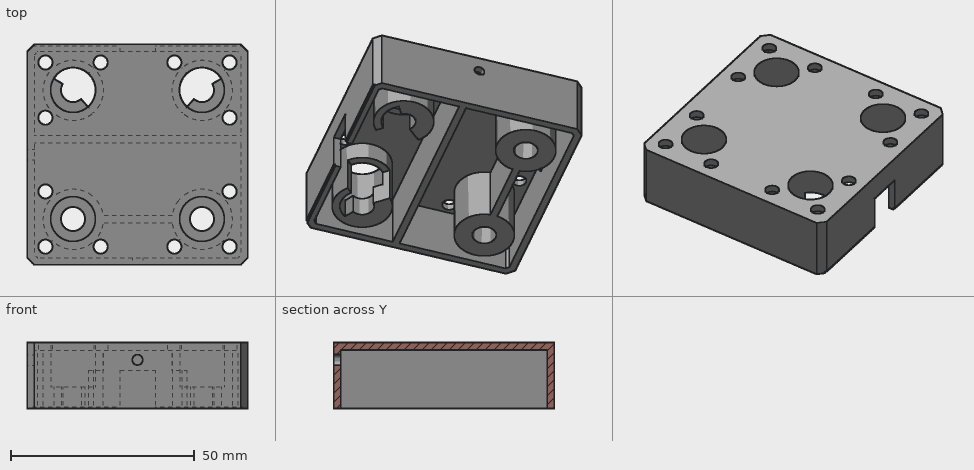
import cadquery as cq
import math

side = 60.0
height = 18.0
corner_chamfer = 2.0
wall = 2.0
plate_thickness = 2.1
half = side / 2
inner_side = side - 2 * wall
inner_chamfer = corner_chamfer - wall * (2 - math.sqrt(2))

small_hole_diameter = 3.8
small_hole_outer = 25.0
small_hole_inner = 10.0

boss_offset = 17.5
boss_diameter = 16.4
boss_bore_diameter = 12.2
ledge_bore_diameter = 6.5
ledge_thickness = 6.0

opening_height = 10.5
window_start_angle = -48.0
window_end_angle = 47.8
ledge_start_angle = 149.0

rib_thickness = wall
middle_rib_y = 4.2

side_hole_diameter = 2.8
side_hole_height = 13.25

slot_width = 9.6
edge_step = 0.5

signs = (-1, 1)
boss_points = [(sx * boss_offset, sy * boss_offset) for sx in signs for sy in signs]
small_hole_points = [
    (sx * x, sy * y)
    for sx in signs
    for sy in signs
    for x, y in (
        (small_hole_outer, small_hole_outer),
        (small_hole_outer, small_hole_inner),
        (small_hole_inner, small_hole_outer),
    )
]


def chamfered_block(width, chamfer, block_height):
    block = cq.Workplane("XY").box(width, width, block_height, centered=(True, True, False))
    return block.edges("|Z").chamfer(chamfer)


def cylinders(points, diameter, bottom=0.0):
    """Upright cylinders from `bottom` to the top of the box."""
    base = cq.Workplane("XY", origin=(0, 0, bottom)).pushPoints(points)
    return base.circle(diameter / 2).extrude(height - bottom)


def sector(radius, start_angle, end_angle, sector_height):
    """Upright pie slice about the Z axis, between two angles in degrees from +X."""

    def rim(angle):
        turn = math.radians(angle)
        return (radius * math.cos(turn), radius * math.sin(turn))

    return (
        cq.Workplane("XY")
        .lineTo(*rim(start_angle))
        .threePointArc(rim((start_angle + end_angle) / 2), rim(end_angle))
        .close()
        .extrude(sector_height)
    )


def make_shell():
    outside = chamfered_block(side, corner_chamfer, height)
    inside = chamfered_block(inner_side, inner_chamfer, height - plate_thickness)
    return outside.cut(inside)


def make_rib(length, y):
    rib = cq.Workplane("XY").box(length, rib_thickness, height, centered=(True, True, False))
    return rib.translate((0, y, 0))


def boss_opening():
    """Cutter for the -X, +Y boss: a window through the tube, then a gap in the ledge alone."""
    window = sector(boss_diameter, window_start_angle, window_end_angle, opening_height)
    ledge_gap = sector(boss_bore_diameter / 2, window_end_angle, ledge_start_angle, ledge_thickness)
    return window.union(ledge_gap).translate((-boss_offset, boss_offset, 0))


def side_hole():
    """Cutter through the -Y wall, reaching half a wall past it on both sides."""
    plane = cq.Workplane("XZ", origin=(0, 1.5 * wall - half, side_hole_height))
    return plane.circle(side_hole_diameter / 2).extrude(2 * wall)


def y_wall_slot():
    slot = cq.Workplane("XY").box(slot_width, 2 * wall, opening_height, centered=(True, True, False))
    return slot.translate((0, half - wall / 2, 0))


def y_wall_step():
    step = cq.Workplane("XY").box(side, edge_step, edge_step, centered=(True, False, False))
    return step.translate((0, half - edge_step, 0))


opening = boss_opening()
bosses = cylinders(boss_points, boss_diameter).cut(opening).cut(opening.mirror("YZ"))

result = make_shell().union(bosses)
result = result.union(make_rib(2 * boss_offset, -boss_offset))
result = result.union(make_rib(inner_side, middle_rib_y))
result = result.cut(cylinders(boss_points, boss_bore_diameter, ledge_thickness))
result = result.cut(cylinders(boss_points, ledge_bore_diameter))
result = result.cut(cylinders(small_hole_points, small_hole_diameter))
result = result.cut(side_hole())
result = result.cut(side_hole().rotate((0, 0, 0), (0, 0, 1), -90))
result = result.cut(y_wall_slot())
result = result.cut(y_wall_step())